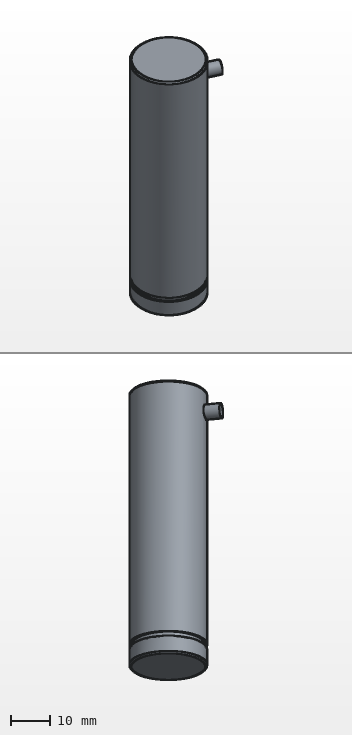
import cadquery as cq

rod_diameter = 20.0
rod_length = 75.0
end_chamfer = 0.5

groove_diameter = 19.0
groove_bottom = 4.7
groove_width = 1.3

pin_diameter = 4.0
pin_projection = 4.0
pin_seat_depth = 4.0
pin_drop = 6.0

rod_radius = rod_diameter / 2
pin_height = rod_length - pin_drop
pin_length = pin_seat_depth + pin_projection


def make_pin():
    """Plain pin along +Y, starting at the floor of its seat in the rod."""
    seat_floor = cq.Plane(
        origin=(0, rod_radius - pin_seat_depth, pin_height),
        xDir=(1, 0, 0),
        normal=(0, 1, 0),
    )
    return cq.Workplane(seat_floor).circle(pin_diameter / 2).extrude(pin_length)


def make_groove():
    """Ring of material removed to form the groove."""
    return (
        cq.Workplane("XY")
        .workplane(offset=groove_bottom)
        .circle(rod_radius)
        .circle(groove_diameter / 2)
        .extrude(groove_width)
    )


def make_rod():
    """Solid rod with chamfered ends, the groove and a blind seat for the pin."""
    blank = (
        cq.Workplane("XY")
        .circle(rod_radius)
        .extrude(rod_length)
        .faces("<Z or >Z")
        .edges()
        .chamfer(end_chamfer)
    )
    return blank.cut(make_groove()).cut(make_pin())


rod = make_rod()
pin = make_pin()

result = cq.Compound.makeCompound([rod.val(), pin.val()])